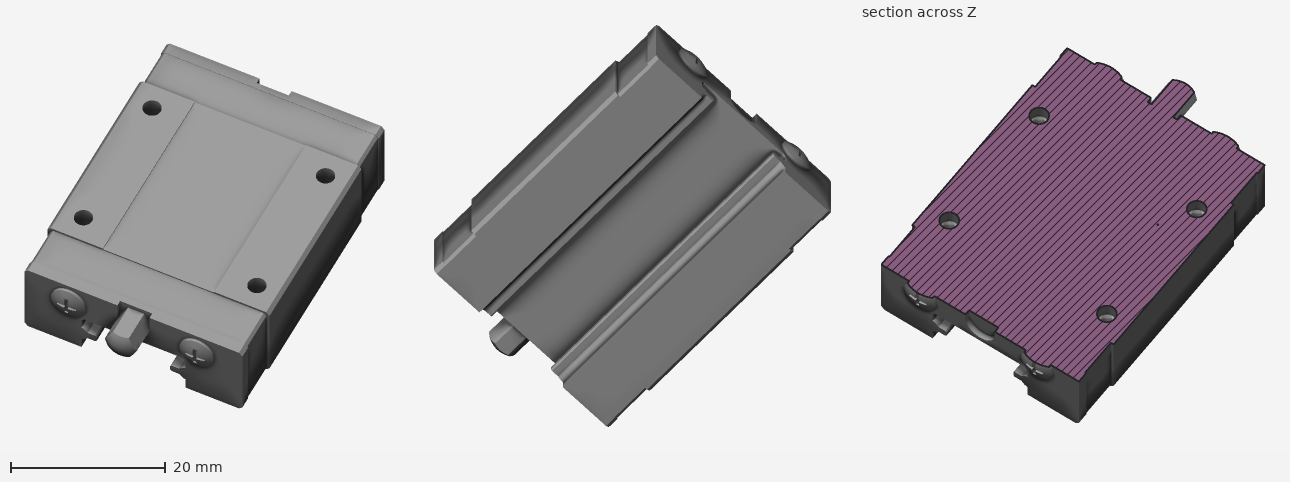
import cadquery as cq
import math

BLOCK_WIDTH = 32.0
BLOCK_LENGTH = 26.8
BLOCK_HEIGHT = 12.0
CAP_WIDTH = 31.1
CAP_HEIGHT = 11.65
CAP_LENGTH = 5.65
PLATE_WIDTH = 31.4
PLATE_THICKNESS = 1.65
PLATE_HEIGHT = 11.7
CORNER_CHAMFER = 0.5
CAP_CHAMFER = 0.4

RELIEF_WIDTH = 16.0
RELIEF_DEPTH = 0.15

CHANNEL_WIDTH = 15.0
CHANNEL_HEIGHT = 6.0
CHANNEL_CHAMFER = 0.4

TONGUE_Z = 2.9
TONGUE_TIP_X = 5.3
TONGUE_NECK_X = 6.6
TONGUE_THICKNESS = 1.1
TONGUE_ROOT_HEIGHT = 2.35
TONGUE_ROOT_BULGE = 0.1
TONGUE_CHAMFER = 0.2

HOLE_DIAMETER = 2.5
HOLE_DEPTH = 4.0
HOLE_SPACING_X = 25.0
HOLE_SPACING_Y = 20.0
DRILL_POINT_ANGLE = 118.0

SCREW_SPACING = 18.5
SCREW_Z = 8.6
SCREW_DIAMETER = 4.9
SCREW_RIM = 0.4
SCREW_HEIGHT = 1.06
CROSS_LENGTH = 2.75
CROSS_WIDTH = 0.5
CROSS_DEPTH = 0.4

NIPPLE_Z = 9.0
NIPPLE_FLATS = 4.0
POCKET_DEPTH = 0.8
NIPPLE_POINT = 0.9

OVERALL_LENGTH = 47.0

CAP_END_Y = BLOCK_LENGTH / 2 + CAP_LENGTH
END_Y = CAP_END_Y + PLATE_THICKNESS
NIPPLE_REACH = OVERALL_LENGTH - END_Y - (END_Y + SCREW_HEIGHT)
NIPPLE_DIAMETER = NIPPLE_FLATS / math.cos(math.pi / 6)


def chamfered_bar(width, height, chamfer, y_start, y_end):
    """Bar along Y standing on Z = 0 with its four long edges chamfered."""
    length = y_end - y_start
    bar = cq.Workplane("XY").box(width, length, height, centered=(True, False, False))
    return bar.edges("|Y").chamfer(chamfer).translate((0, y_start, 0))


def channel_cutter():
    """Rail channel with chamfered roof corners."""
    cutter = cq.Workplane("XY").box(CHANNEL_WIDTH, 2 * END_Y, CHANNEL_HEIGHT, centered=(True, True, False))
    return cutter.edges("|Y and >Z").chamfer(CHANNEL_CHAMFER)


def tongue():
    """Tongue along the +X channel wall: convex root, flat blade and chamfered tip."""
    wall_x = CHANNEL_WIDTH / 2
    blade = TONGUE_THICKNESS / 2
    root = TONGUE_ROOT_HEIGHT / 2
    tip_flat = blade - TONGUE_CHAMFER
    tip_chamfer_x = TONGUE_TIP_X + TONGUE_CHAMFER

    slope_x = wall_x - TONGUE_NECK_X
    slope_z = root - blade
    slope_length = math.hypot(slope_x, slope_z)
    bulge_x = (wall_x + TONGUE_NECK_X) / 2 - TONGUE_ROOT_BULGE * slope_z / slope_length
    bulge_z = (root + blade) / 2 + TONGUE_ROOT_BULGE * slope_x / slope_length

    profile = (
        cq.Workplane("XZ", origin=(0, -END_Y, TONGUE_Z))
        .moveTo(wall_x, -root)
        .threePointArc((bulge_x, -bulge_z), (TONGUE_NECK_X, -blade))
        .lineTo(tip_chamfer_x, -blade)
        .lineTo(TONGUE_TIP_X, -tip_flat)
        .lineTo(TONGUE_TIP_X, tip_flat)
        .lineTo(tip_chamfer_x, blade)
        .lineTo(TONGUE_NECK_X, blade)
        .threePointArc((bulge_x, bulge_z), (wall_x, root))
        .close()
    )
    return profile.extrude(-2 * END_Y)


def mounting_hole():
    """Drilled hole with a conical bottom, its mouth centred on the origin."""
    radius = HOLE_DIAMETER / 2
    point_depth = radius / math.tan(math.radians(DRILL_POINT_ANGLE / 2))
    half_section = [(0, 0), (radius, 0), (radius, -HOLE_DEPTH), (0, -HOLE_DEPTH - point_depth)]
    return cq.Workplane("XZ").polyline(half_section).close().revolve(360, (0, 0), (0, 1))


def dome_midpoint(radius, rise):
    """Halfway point of the arc from the rim of a spherical dome to its peak: radius and height."""
    sphere_radius = (radius ** 2 + rise ** 2) / (2 * rise)
    half_angle = math.asin(radius / sphere_radius) / 2
    return sphere_radius * math.sin(half_angle), rise - sphere_radius * (1 - math.cos(half_angle))


def screw_head():
    """Domed head with a cross recess, facing -Y, seated on Y = 0."""
    radius = SCREW_DIAMETER / 2
    mid_x, mid_rise = dome_midpoint(radius, SCREW_HEIGHT - SCREW_RIM)
    head = (
        cq.Workplane("XY")
        .lineTo(radius, 0)
        .lineTo(radius, -SCREW_RIM)
        .threePointArc((mid_x, -SCREW_RIM - mid_rise), (0, -SCREW_HEIGHT))
        .close()
        .revolve(360, (0, 0), (0, 1))
    )
    cross = cq.Workplane("XY").box(CROSS_LENGTH, 2 * CROSS_DEPTH, CROSS_WIDTH)
    cross = cross.union(cq.Workplane("XY").box(CROSS_WIDTH, 2 * CROSS_DEPTH, CROSS_LENGTH))
    return head.cut(cross.translate((0, -SCREW_HEIGHT, 0)))


def nipple_pocket():
    """Round-bottomed pocket in the front face, open at the top."""
    depth = POCKET_DEPTH
    front = cq.Workplane("XZ", origin=(0, -END_Y, 0))
    round_part = front.center(0, NIPPLE_Z).circle(NIPPLE_DIAMETER / 2).extrude(-depth)
    opening_height = BLOCK_HEIGHT - NIPPLE_Z
    opening = front.center(0, NIPPLE_Z + opening_height / 2).rect(NIPPLE_DIAMETER, opening_height)
    return round_part.union(opening.extrude(-depth))


def nipple():
    """Hexagonal nipple pointing towards -Y with a rounded point."""
    radius = NIPPLE_DIAMETER / 2
    length = POCKET_DEPTH + NIPPLE_REACH
    hexagon = cq.Workplane("XZ").polygon(6, NIPPLE_DIAMETER).extrude(length)
    shoulder = length - NIPPLE_POINT
    mid_x, mid_rise = dome_midpoint(radius, NIPPLE_POINT)
    envelope = (
        cq.Workplane("XY")
        .lineTo(radius, 0)
        .lineTo(radius, -shoulder)
        .threePointArc((mid_x, -shoulder - mid_rise), (0, -length))
        .close()
        .revolve(360, (0, 0), (0, 1))
    )
    return hexagon.intersect(envelope).translate((0, POCKET_DEPTH - END_Y, NIPPLE_Z))


def mirrored_front_to_back(shape):
    """The shape together with its mirror image across Y = 0."""
    return shape.union(shape.mirror("XZ"))


block = chamfered_bar(BLOCK_WIDTH, BLOCK_HEIGHT, CORNER_CHAMFER, -BLOCK_LENGTH / 2, BLOCK_LENGTH / 2)
relief = cq.Workplane("XY").box(RELIEF_WIDTH, BLOCK_LENGTH, 2 * RELIEF_DEPTH)
block = block.cut(relief.translate((0, 0, BLOCK_HEIGHT)))
for x in (-HOLE_SPACING_X / 2, HOLE_SPACING_X / 2):
    for y in (-HOLE_SPACING_Y / 2, HOLE_SPACING_Y / 2):
        block = block.cut(mounting_hole().translate((x, y, BLOCK_HEIGHT)))

cap = chamfered_bar(CAP_WIDTH, CAP_HEIGHT, CAP_CHAMFER, -CAP_END_Y, -BLOCK_LENGTH / 2)
plate = chamfered_bar(PLATE_WIDTH, PLATE_HEIGHT, CORNER_CHAMFER, -END_Y, -CAP_END_Y)
body = block.union(mirrored_front_to_back(cap)).union(mirrored_front_to_back(plate))

right_tongue = tongue()
body = body.cut(channel_cutter()).union(right_tongue).union(right_tongue.mirror("YZ"))
body = body.cut(mirrored_front_to_back(nipple_pocket()))

for x in (-SCREW_SPACING / 2, SCREW_SPACING / 2):
    body = body.union(mirrored_front_to_back(screw_head().translate((x, -END_Y, SCREW_Z))))

result = body.union(nipple())